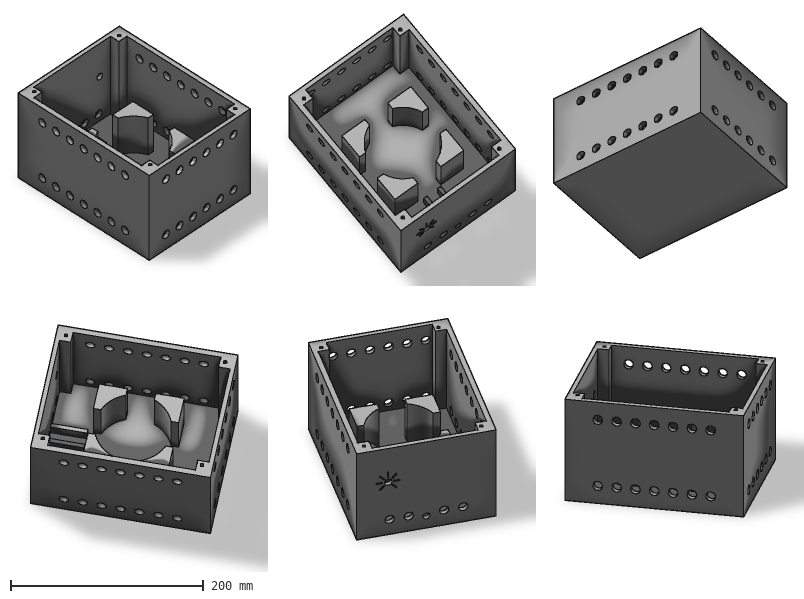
import cadquery as cq
import math

LENGTH = 190.0
WIDTH = 150.0
HEIGHT = 115.0
END_WALL = 5.0
SIDE_WALL = 6.0
FLOOR = 10.0
INNER_LENGTH = LENGTH - 2 * END_WALL
INNER_WIDTH = WIDTH - 2 * SIDE_WALL

POST_SIZE = 12.0
SCREW_DIAMETER = 3.5
SCREW_DEPTH = 20.0
SCREW_PATTERN_X = -0.5
SCREW_PATTERN_Y = 1.25
DRILL_TIP_ANGLE = 118.0

VENT_DIAMETER = 10.0
VENT_PITCH = 20.0
LOWER_ROW_Z = 20.0
UPPER_ROW_Z = 95.0
SIDE_VENT_COUNT = 7
RIGHT_END_VENT_COUNT = 6
LEFT_END_VENT_Y = (-39.5, -19.0, 19.0, 39.5)

CRADLE_CENTER_X = -1.0
CRADLE_SPAN = 90.0
BLOCK_SIZE = 30.0
CRADLE_TOP_Z = 60.0
CRADLE_BORE_DIAMETER = 80.0

RAIL_LENGTH = 39.0
RAIL_THICKNESS = 4.5
RAIL_GAP = 13.5
RAIL_TOP_Z = 21.5

CABLE_DIAMETER = 7.5
CABLE_Z = 16.0
KNOB_DIAMETER = 8.0
KNOB_Y = 41.0
KNOB_Z = 70.0
MARK_INNER_RADIUS = 6.25
MARK_LENGTH = 6.5
MARK_WIDTH = 0.8
MARK_DEPTH = 1.0
MARK_STEP = 45
FIRST_MARK_ANGLE = -45
LAST_MARK_ANGLE = 225


def box_between(x_min, x_max, y_min, y_max, z_min, z_max):
    size = (x_max - x_min, y_max - y_min, z_max - z_min)
    return cq.Workplane("XY").box(*size, centered=False).translate((x_min, y_min, z_min))


def row_positions(count):
    first = -VENT_PITCH * (count - 1) / 2
    return [first + i * VENT_PITCH for i in range(count)]


def vent_rows(count):
    """Centers of the lower and upper vent rows as (position along the wall, Z)."""
    return [(along, z) for z in (LOWER_ROW_Z, UPPER_ROW_Z) for along in row_positions(count)]


def make_shell():
    shell = cq.Workplane("XY").box(LENGTH, WIDTH, HEIGHT, centered=(True, True, False))
    cavity = (
        cq.Workplane("XY")
        .workplane(offset=FLOOR)
        .rect(INNER_LENGTH, INNER_WIDTH)
        .extrude(HEIGHT - FLOOR)
    )
    posts = (
        cq.Workplane("XY")
        .workplane(offset=FLOOR)
        .rect(INNER_LENGTH - POST_SIZE, INNER_WIDTH - POST_SIZE, forConstruction=True)
        .vertices()
        .rect(POST_SIZE, POST_SIZE)
        .extrude(HEIGHT - FLOOR)
    )
    return shell.cut(cavity.cut(posts))


def make_screw_hole():
    """Blind hole with a drill point, opening at Z = HEIGHT on the Z axis."""
    radius = SCREW_DIAMETER / 2
    tip_length = radius / math.tan(math.radians(DRILL_TIP_ANGLE / 2))
    shoulder_z = HEIGHT - SCREW_DEPTH
    return (
        cq.Workplane("XZ")
        .moveTo(0, HEIGHT)
        .lineTo(radius, HEIGHT)
        .lineTo(radius, shoulder_z)
        .lineTo(0, shoulder_z - tip_length)
        .close()
        .revolve(360, (0, 0, 0), (0, 1, 0))
    )


def cut_screw_holes(body):
    hole = make_screw_hole()
    x_reach = (INNER_LENGTH - POST_SIZE) / 2
    y_reach = (INNER_WIDTH - POST_SIZE) / 2
    for x_sign in (-1, 1):
        for y_sign in (-1, 1):
            x = SCREW_PATTERN_X + x_sign * x_reach
            y = SCREW_PATTERN_Y + y_sign * y_reach
            body = body.cut(hole.translate((x, y, 0)))
    return body


def make_cradle():
    centers = (CRADLE_SPAN - BLOCK_SIZE, CRADLE_SPAN - BLOCK_SIZE)
    height = CRADLE_TOP_Z - FLOOR
    base = cq.Workplane("XY", origin=(CRADLE_CENTER_X, 0, FLOOR))
    blocks = (
        base.rect(*centers, forConstruction=True)
        .vertices()
        .rect(BLOCK_SIZE, BLOCK_SIZE)
        .extrude(height)
    )
    return blocks.cut(base.circle(CRADLE_BORE_DIAMETER / 2).extrude(height))


def make_rails():
    x_start = -INNER_LENGTH / 2
    y_inner = RAIL_GAP / 2
    y_outer = y_inner + RAIL_THICKNESS
    rail = box_between(x_start, x_start + RAIL_LENGTH, y_inner, y_outer, FLOOR, RAIL_TOP_Z)
    return rail.union(rail.mirror("XZ"))


def cut_side_vents(body):
    vents = (
        cq.Workplane("XZ")
        .pushPoints(vent_rows(SIDE_VENT_COUNT))
        .circle(VENT_DIAMETER / 2)
        .extrude(WIDTH / 2, both=True)
    )
    inside = cq.Workplane("XY").box(INNER_LENGTH, INNER_WIDTH, HEIGHT, centered=(True, True, False))
    return body.cut(vents.cut(inside))


def end_wall_holes(x_start, points, diameter):
    """Cylinders through one end wall, starting at x_start and running toward +X."""
    return (
        cq.Workplane("YZ", origin=(x_start, 0, 0))
        .pushPoints(points)
        .circle(diameter / 2)
        .extrude(END_WALL)
    )


def cut_end_holes(body):
    left_vents = [(y, LOWER_ROW_Z) for y in LEFT_END_VENT_Y]
    right_vents = vent_rows(RIGHT_END_VENT_COUNT)
    left = -LENGTH / 2
    right = INNER_LENGTH / 2
    body = body.cut(end_wall_holes(left, left_vents, VENT_DIAMETER))
    body = body.cut(end_wall_holes(right, right_vents, VENT_DIAMETER))
    body = body.cut(end_wall_holes(left, [(0, CABLE_Z)], CABLE_DIAMETER))
    return body.cut(end_wall_holes(left, [(KNOB_Y, KNOB_Z)], KNOB_DIAMETER))


def cut_dial_marks(body):
    mark = box_between(
        -LENGTH / 2,
        -LENGTH / 2 + MARK_DEPTH,
        MARK_INNER_RADIUS,
        MARK_INNER_RADIUS + MARK_LENGTH,
        -MARK_WIDTH / 2,
        MARK_WIDTH / 2,
    )
    for angle in range(FIRST_MARK_ANGLE, LAST_MARK_ANGLE + 1, MARK_STEP):
        turned = mark.rotate((0, 0, 0), (1, 0, 0), angle)
        body = body.cut(turned.translate((0, KNOB_Y, KNOB_Z)))
    return body


body = make_shell().union(make_cradle()).union(make_rails())
body = cut_screw_holes(body)
body = cut_side_vents(body)
body = cut_end_holes(body)
result = cut_dial_marks(body)